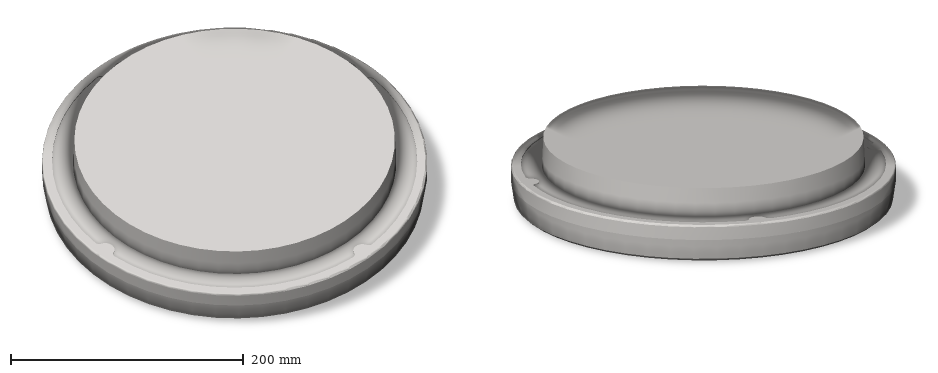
import cadquery as cq
import math

TOTAL_HEIGHT = 59.5
DIFFUSER_TOP = 22.0
PLATE_TOP = 34.0
RING_TOP = 35.0

OUTER_RADIUS = 165.5
RING_INNER_RADIUS = 157.0
DRUM_BASE_RADIUS = 139.0
DRUM_TOP_RADIUS = 137.7

RIM_FILLET = 1.5
TAB_COUNT = 4
FIRST_TAB_ANGLE = 76.9
TAB_RADIUS = 8.0
TAB_TIP_RADIUS = 148.3
TAB_CENTER_RADIUS = TAB_TIP_RADIUS + TAB_RADIUS
TAB_ROOT_FILLET = 4.3

SIDE_BOTTOM_RADIUS = 163.0
SIDE_BOTTOM_HEIGHT = 4.0
FACE_RADIUS = 160.2
DOME_SAG = 1.5


def make_diffuser():
    """Solid cover with a tapered side, a bevelled lower edge and a shallow domed underside."""
    dome_radius = (FACE_RADIUS**2 + DOME_SAG**2) / (2 * DOME_SAG)
    dome_mid_r = FACE_RADIUS / 2
    dome_mid_z = dome_radius - math.sqrt(dome_radius**2 - dome_mid_r**2)
    profile = (
        cq.Workplane("XZ")
        .moveTo(0, DIFFUSER_TOP)
        .lineTo(OUTER_RADIUS, DIFFUSER_TOP)
        .lineTo(SIDE_BOTTOM_RADIUS, SIDE_BOTTOM_HEIGHT)
        .lineTo(FACE_RADIUS, DOME_SAG)
        .threePointArc((dome_mid_r, dome_mid_z), (0, 0))
        .close()
    )
    return profile.revolve(360, (0, 0), (0, 1))


def make_ring():
    """Outer ring with rounded tabs pointing inward."""
    base = cq.Workplane("XY").workplane(offset=DIFFUSER_TOP)
    height = RING_TOP - DIFFUSER_TOP
    outer = base.circle(OUTER_RADIUS).extrude(height).faces(">Z").edges().fillet(RIM_FILLET)
    ring = outer.cut(base.circle(RING_INNER_RADIUS).extrude(height))
    for index in range(TAB_COUNT):
        angle = math.radians(FIRST_TAB_ANGLE + index * 360 / TAB_COUNT)
        x = TAB_CENTER_RADIUS * math.cos(angle)
        y = TAB_CENTER_RADIUS * math.sin(angle)
        ring = ring.union(base.center(x, y).circle(TAB_RADIUS).extrude(height))
        reach = TAB_RADIUS + TAB_ROOT_FILLET
        tab_box = cq.selectors.BoxSelector(
            (x - reach, y - reach, DIFFUSER_TOP), (x + reach, y + reach, RING_TOP)
        )
        root_edges = ring.edges("|Z").edges(tab_box)
        ring = root_edges.fillet(TAB_ROOT_FILLET)
    return ring


def make_drum():
    """Slightly tapered drum that stands on the diffuser and passes through the plate."""
    return (
        cq.Workplane("XZ")
        .moveTo(0, DIFFUSER_TOP)
        .lineTo(DRUM_BASE_RADIUS, DIFFUSER_TOP)
        .lineTo(DRUM_BASE_RADIUS, PLATE_TOP)
        .lineTo(DRUM_TOP_RADIUS, TOTAL_HEIGHT)
        .lineTo(0, TOTAL_HEIGHT)
        .close()
        .revolve(360, (0, 0), (0, 1))
    )


def make_plate(ring):
    """Flat plate between drum and ring, notched around the ring's tabs."""
    return (
        cq.Workplane("XY")
        .workplane(offset=DIFFUSER_TOP)
        .circle(RING_INNER_RADIUS)
        .circle(DRUM_BASE_RADIUS)
        .extrude(PLATE_TOP - DIFFUSER_TOP)
        .cut(ring)
    )


diffuser = make_diffuser()
ring = make_ring()
drum = make_drum()
plate = make_plate(ring)

result = cq.Compound.makeCompound([*diffuser.vals(), *ring.vals(), *drum.vals(), *plate.vals()])